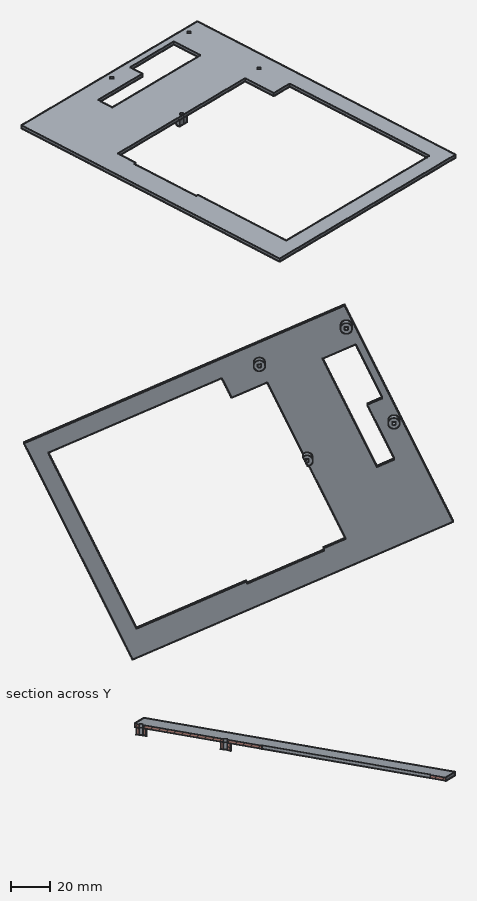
import cadquery as cq

plate_length = 181.0
plate_width = 132.0
plate_thickness = 2.0

window_left = 54.0
window_right = 172.0
window_bottom = 14.7
window_top = plate_width - 10.0
corner_step_right = 74.0
corner_step_bottom = plate_width - 21.9
recess_left = 66.6
recess_right = 110.0
recess_depth = 1.3

slot_left = 4.0
slot_right = 22.6
slot_step_x = 12.7
slot_top = corner_step_bottom
slot_step_y = slot_top - 32.8
slot_bottom = slot_top - 66.0

spacer_diameter = 6.0
spacer_height = 4.0
screw_hole_diameter = 2.0
spacer_spacing_x = 49.0
spacer_spacing_y = 58.0
first_spacer_x = 3.8
first_spacer_y = plate_width - 10.3
spacer_centers = [
    (first_spacer_x + column * spacer_spacing_x, first_spacer_y - row * spacer_spacing_y)
    for column in range(2)
    for row in range(2)
]


def make_window(bottom_z, height):
    """Solid filling the large window between the given levels."""
    outline = [
        (window_left, window_bottom),
        (recess_left, window_bottom),
        (recess_left, window_bottom - recess_depth),
        (recess_right, window_bottom - recess_depth),
        (recess_right, window_bottom),
        (window_right, window_bottom),
        (window_right, window_top),
        (corner_step_right, window_top),
        (corner_step_right, corner_step_bottom),
        (window_left, corner_step_bottom),
    ]
    return cq.Workplane("XY").workplane(offset=bottom_z).polyline(outline).close().extrude(height)


def make_slot():
    """Solid filling the stepped slot."""
    outline = [
        (slot_step_x, slot_bottom),
        (slot_right, slot_bottom),
        (slot_right, slot_top),
        (slot_left, slot_top),
        (slot_left, slot_step_y),
        (slot_step_x, slot_step_y),
    ]
    return cq.Workplane("XY").polyline(outline).close().extrude(plate_thickness)


def make_plate():
    blank = cq.Workplane("XY").box(plate_length, plate_width, plate_thickness, centered=False)
    screw_holes = (
        cq.Workplane("XY")
        .pushPoints(spacer_centers)
        .circle(screw_hole_diameter / 2)
        .extrude(plate_thickness)
    )
    return blank.cut(make_window(0, plate_thickness)).cut(make_slot()).cut(screw_holes).solids()


def make_spacer(center):
    """Tubular spacer; any part reaching into the window is trimmed flush with its edge."""
    tube = (
        cq.Workplane("XY")
        .center(*center)
        .circle(spacer_diameter / 2)
        .circle(screw_hole_diameter / 2)
        .extrude(-spacer_height)
    )
    return tube.cut(make_window(-spacer_height, spacer_height)).solids()


plate = make_plate()
spacers = [make_spacer(center) for center in spacer_centers]

result = cq.Compound.makeCompound([plate.val(), *[spacer.val() for spacer in spacers]])